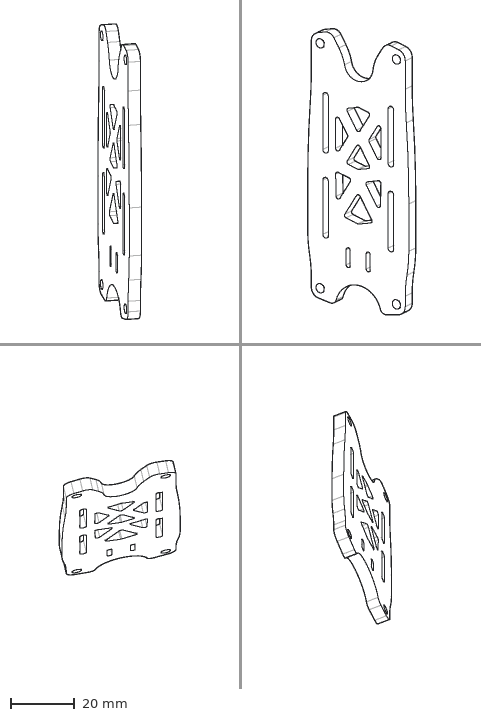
import cadquery as cq
import math

height = 89.3
thickness = 4.0
waist_half_width = 18.985
end_half_width = 17.645

bottom_flare_start = 7.5
bottom_flare_middle = 14.6
bottom_flare_end = 22.6
top_taper_start = 38.2
top_taper_middle = 64.9
top_taper_end = 75.9

corner_radius = 3.3
top_ear_radius = 2.95
top_ear_x = 11.6
top_edge_angle = 15.0
bottom_ear_radius = 2.0
bottom_edge_angle = 10.0

throat_radius = 5.4
throat_x = 0.2
throat_bottom = 75.2
throat_end_angle = 9.0
notch_side_angle = 58.0
notch_side_length = 3.6

bottom_notch_radius = 8.6
bottom_notch_top = 7.8

hole_diameter = 3.0
hole_x = 14.3
hole_heights = (4.2, 85.1)

strap_slot_x = 12.2
strap_slot_length = 20.0
strap_slot_width = 2.05
strap_slot_heights = (31.2, 59.2)
small_slot_x = 3.75
small_slot_length = 6.5
small_slot_width = 1.5
small_slot_height = 16.3

brace_slope = math.tan(math.radians(58.0))
rim_slope = math.tan(math.radians(15.0))
window_radius = 0.75
cross_height = 56.4
cross_apex_offset = 1.6
cross_rim_offset = 10.3
side_window_apex_x = 3.8
side_window_outer_x = 8.5
corner_window_foot_x = 8.2
corner_window_rim_height = 41.7
corner_window_brace_height = 46.4
lower_window_apex = 38.4
lower_window_rim_height = 28.05


def polar(center, radius, angle):
    """Point on a circle at an angle in degrees from +X."""
    turn = math.radians(angle)
    return (center[0] + radius * math.cos(turn), center[1] + radius * math.sin(turn))


def between(start, end, z):
    """Point at height z on the straight line from start to end."""
    share = (z - start[1]) / (end[1] - start[1])
    return (start[0] + share * (end[0] - start[0]), z)


def corner_center(ear_center, ear_radius, edge_angle, side):
    """Centre of the outer corner whose end edge also touches the ear; side is +1 at the top, -1 below."""
    x = end_half_width - corner_radius
    slope = math.radians(edge_angle)
    drop = (x - ear_center[0]) * math.tan(slope) + (corner_radius - ear_radius) / math.cos(slope)
    return (x, ear_center[1] - side * drop)


def half_plate(side):
    """Half of the plate on one side of X = 0, outlined as if on the +X side; side is +1 or -1."""
    notch_center_z = bottom_notch_top - bottom_notch_radius
    ear_reach = bottom_notch_radius + bottom_ear_radius
    ear_rise = bottom_ear_radius - notch_center_z
    bottom_ear = (math.sqrt(ear_reach**2 - ear_rise**2), bottom_ear_radius)
    notch_turn = math.degrees(math.asin(ear_rise / ear_reach))
    notch_end = polar((0, notch_center_z), bottom_notch_radius, notch_turn)
    notch_middle = polar((0, notch_center_z), bottom_notch_radius, (90 + notch_turn) / 2)
    bottom_corner = corner_center(bottom_ear, bottom_ear_radius, bottom_edge_angle, -1)
    bottom_normal = bottom_edge_angle - 90

    top_ear = (top_ear_x, height - top_ear_radius)
    top_corner = corner_center(top_ear, top_ear_radius, top_edge_angle, 1)
    top_normal = 90 - top_edge_angle
    ear_inner = polar(top_ear, top_ear_radius, 90 + notch_side_angle)
    flare_end = polar(ear_inner, -notch_side_length, notch_side_angle)
    throat_center = (side * throat_x, throat_bottom + throat_radius)
    throat_end = polar(throat_center, throat_radius, -throat_end_angle)
    throat_middle = polar(throat_center, throat_radius, -(90 + throat_end_angle) / 2)
    throat_at_seam = (0, throat_center[1] - math.sqrt(throat_radius**2 - throat_x**2))

    flare_low = (end_half_width, bottom_flare_start)
    flare_high = (waist_half_width, bottom_flare_end)
    taper_low = (waist_half_width, top_taper_start)
    taper_high = (end_half_width, top_taper_end)

    half = (
        cq.Workplane("XZ")
        .moveTo(0, bottom_notch_top)
        .threePointArc(notch_middle, notch_end)
        .tangentArcPoint(polar(bottom_ear, bottom_ear_radius, bottom_normal), relative=False)
        .lineTo(*polar(bottom_corner, corner_radius, bottom_normal))
        .tangentArcPoint(polar(bottom_corner, corner_radius, 0), relative=False)
        .lineTo(*flare_low)
        .tangentArcPoint(between(flare_low, flare_high, bottom_flare_middle), relative=False)
        .tangentArcPoint(flare_high, relative=False)
        .lineTo(*taper_low)
        .tangentArcPoint(between(taper_low, taper_high, top_taper_middle), relative=False)
        .tangentArcPoint(taper_high, relative=False)
        .lineTo(*polar(top_corner, corner_radius, 0))
        .tangentArcPoint(polar(top_corner, corner_radius, top_normal), relative=False)
        .lineTo(*polar(top_ear, top_ear_radius, top_normal))
        .tangentArcPoint(ear_inner, relative=False)
        .lineTo(*flare_end)
        .tangentArcPoint(throat_end, relative=False)
        .threePointArc(throat_middle, throat_at_seam)
        .close()
        .extrude(-thickness)
    )
    return half if side > 0 else half.mirror("YZ")


def mounting_holes():
    centers = [(side * hole_x, z) for side in (-1, 1) for z in hole_heights]
    return cq.Workplane("XZ").pushPoints(centers).circle(hole_diameter / 2).extrude(-thickness)


def slots(x, heights, length, width):
    centers = [(side * x, z) for side in (-1, 1) for z in heights]
    return cq.Workplane("XZ").pushPoints(centers).slot2D(length, width, 90).extrude(-thickness)


def window(corners):
    prism = cq.Workplane("XZ").polyline(corners).close().extrude(-thickness)
    return prism.edges("|Y").fillet(window_radius)


def center_window(apex_z, rim_z, direction):
    """Kite on the centre line that widens from its apex; direction is +1 upward, -1 downward."""
    half_width = abs(rim_z - apex_z) / (brace_slope + rim_slope)
    shoulder_z = apex_z + direction * brace_slope * half_width
    return window([(0, apex_z), (half_width, shoulder_z), (0, rim_z), (-half_width, shoulder_z)])


def side_window(side):
    """Triangle beside the crossing, pointing toward the centre line."""
    rise = brace_slope * (side_window_outer_x - side_window_apex_x)
    return window([
        (side * side_window_apex_x, cross_height),
        (side * side_window_outer_x, cross_height + rise),
        (side * side_window_outer_x, cross_height - rise),
    ])


def corner_window(side):
    """Triangle outside the lower brace, under the sloped rim."""
    inner_x = (corner_window_brace_height - corner_window_rim_height) / (brace_slope + rim_slope)
    return window([
        (side * inner_x, corner_window_rim_height + rim_slope * inner_x),
        (side * side_window_outer_x, corner_window_rim_height + rim_slope * side_window_outer_x),
        (side * corner_window_foot_x, corner_window_brace_height - brace_slope * corner_window_foot_x),
    ])


result = half_plate(1).union(half_plate(-1)).clean()
result = result.cut(mounting_holes())
result = result.cut(slots(strap_slot_x, strap_slot_heights, strap_slot_length, strap_slot_width))
result = result.cut(slots(small_slot_x, [small_slot_height], small_slot_length, small_slot_width))

for direction in (-1, 1):
    apex_z = cross_height + direction * cross_apex_offset
    rim_z = cross_height + direction * cross_rim_offset
    result = result.cut(center_window(apex_z, rim_z, direction))
result = result.cut(center_window(lower_window_apex, lower_window_rim_height, -1))

for side in (-1, 1):
    result = result.cut(side_window(side))
    result = result.cut(corner_window(side))